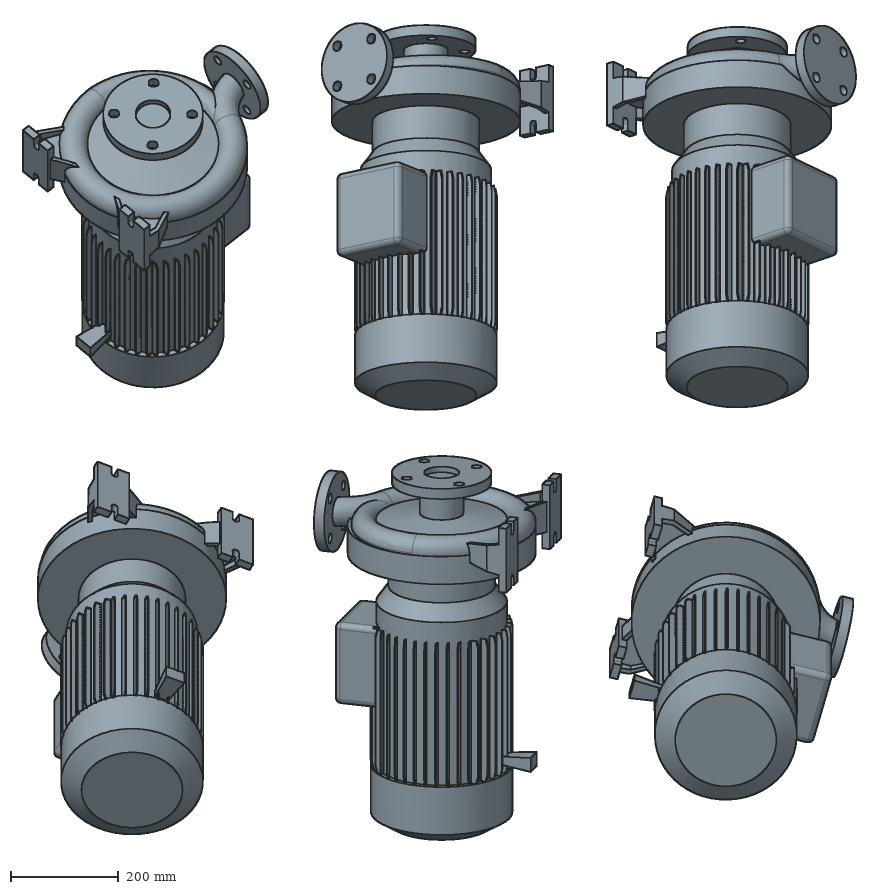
import cadquery as cq
import math

total_height = 690

cover_radius = 132.0
cover_base_radius = 94.0
cover_chamfer_height = 23.5
cover_top = 117
fins_top = 397.5
motor_radius = 121.5
motor_shoulder = 437.5
lantern_radius = 99.5
lantern_base = 468.5

fins_per_side = 10
fin_pitch_angle = 9
fin_thickness = 2.0
fin_tip_radius = 132.5
fin_tip_bevel = 3.0
fin_end_bevel = 14

box_width = 146.0
box_bottom = 238.0
box_face = 185.5
box_fillet = 11.0

casing_diameter = 350.0
casing_bottom = 531
casing_top = 586.0
volute_height = 590.0
volute_tube_diameter = 54.5
volute_end_radius = 21.5
volute_start_angle = 180
volute_taper_steps = 6
cone_rim_height = 594.0
cone_top = 610.5
casing_radius = casing_diameter / 2
volute_tube_radius = volute_tube_diameter / 2
volute_radius = casing_radius - volute_tube_radius

flange_thickness = 20.0
bolt_count = 4
first_bolt_angle = 45
bolt_hole_diameter = 18.5

inlet_pipe_radius = 41.0
inlet_flange_radius = 92.5
inlet_bore_diameter = 65.0
inlet_bore_depth = 11.0
inlet_bolt_circle = 145

outlet_face = 225.0
outlet_flange_radius = 75.0
outlet_bolt_circle = 110.5

foot_face = -180.0
foot_outer = 161.5
foot_inner = 95.0
foot_thickness = 15.0
foot_height = 125.5
foot_slot_width = 13.0
foot_slot_depth = 23.5
foot_slot_x = 125.5
foot_back = foot_face + foot_thickness

leg_width = 9.0
leg_bend_y = -142.0
outer_leg_tip = (127.5, -71.0)
inner_leg_tip = (36.0, -131)
leg_root_half_height = 30.0
leg_slope_angle = 10
web_thickness = 15.0

support_width = 37.0
support_height = 27.5
support_center_height = 141.0
support_length = 69
support_taper = 5.5


def turned_body():
    """Motor, lantern, casing drum, front cone and inlet, all around the Z axis."""
    flange_bottom = total_height - flange_thickness
    profile = [
        (0, 0),
        (cover_base_radius, 0),
        (cover_radius, cover_chamfer_height),
        (cover_radius, cover_top),
        (motor_radius, cover_top),
        (motor_radius, motor_shoulder),
        (lantern_radius, lantern_base),
        (lantern_radius, casing_bottom),
        (casing_radius, casing_bottom),
        (casing_radius, casing_top),
        (volute_radius, casing_top),
        (volute_radius, cone_rim_height),
        (inlet_pipe_radius, cone_top),
        (inlet_pipe_radius, flange_bottom),
        (inlet_flange_radius, flange_bottom),
        (inlet_flange_radius, total_height),
        (0, total_height),
    ]
    return cq.Workplane("XZ").polyline(profile).close().revolve(360, (0, 0), (0, 1))


def cooling_fins():
    """Thin fins parallel to X and to Y, trimmed to a round envelope with bevelled ends."""
    tip_end_radius = fin_tip_radius - fin_tip_bevel
    envelope_profile = [
        (0, cover_top),
        (tip_end_radius, cover_top),
        (fin_tip_radius, cover_top + fin_end_bevel),
        (fin_tip_radius, fins_top - fin_end_bevel),
        (tip_end_radius, fins_top),
        (0, fins_top),
    ]
    envelope = cq.Workplane("XZ").polyline(envelope_profile).close().revolve(360, (0, 0), (0, 1))
    plates = cq.Workplane()
    for index in range(fins_per_side):
        angle = (index - (fins_per_side - 1) / 2) * fin_pitch_angle
        offset = fin_tip_radius * math.sin(math.radians(angle))
        plate = (
            cq.Workplane("XY", origin=(0, offset, cover_top))
            .rect(2 * fin_tip_radius, fin_thickness)
            .extrude(fins_top - cover_top)
        )
        plates = plates.add(plate).add(plate.rotate((0, 0, 0), (0, 0, 1), 90))
    return plates.combine().intersect(envelope)


def terminal_box():
    """Terminal box on the +Y side of the motor, rounded on all its outer edges."""
    return (
        cq.Workplane("XZ", origin=(0, 0, (box_bottom + fins_top) / 2))
        .rect(box_width, fins_top - box_bottom)
        .extrude(-box_face)
        .edges("|Y or >Y")
        .fillet(box_fillet)
    )


def volute_section(angle, tube_radius):
    """Round tube section whose inner side touches the constant inner volute radius."""
    center_radius = volute_radius - volute_tube_radius + tube_radius
    direction = cq.Vector(math.cos(math.radians(angle)), math.sin(math.radians(angle)), 0)
    center = direction * center_radius + cq.Vector(0, 0, volute_height)
    tangent = cq.Vector(-direction.y, direction.x, 0)
    return cq.Wire.makeCircle(tube_radius, center, tangent)


def volute():
    """Volute tube: constant round part, narrowing part, and the bend to the outlet."""
    bend_angle = 2 * math.atan(volute_radius / outlet_face)
    bend_degrees = math.degrees(bend_angle)
    bend_radius = volute_radius * math.cos(bend_angle) / (1 - math.cos(bend_angle))

    ring = (
        cq.Workplane("XZ", origin=(0, 0, volute_height))
        .center(-volute_radius, 0)
        .circle(volute_tube_radius)
        .revolve(360 - volute_start_angle + bend_degrees, (volute_radius, 0), (volute_radius, 1))
    )
    bend = (
        cq.Workplane("XZ", origin=(0, outlet_face, volute_height))
        .circle(volute_tube_radius)
        .revolve(bend_degrees, (bend_radius, 0), (bend_radius, 1))
    )

    sections = []
    for step in range(volute_taper_steps + 1):
        fraction = step / volute_taper_steps
        angle = volute_start_angle + fraction * (bend_degrees - volute_start_angle)
        tube_radius = volute_tube_radius + fraction * (volute_end_radius - volute_tube_radius)
        sections.append(volute_section(angle, tube_radius))
    narrowing = cq.Workplane(cq.Solid.makeLoft(sections))
    return ring, narrowing, bend


def foot_plate():
    """Upright plate on the +X side with an open slot in its upper and lower edge."""
    plate = (
        cq.Workplane("XY")
        .box(foot_outer - foot_inner, foot_thickness, foot_height)
        .translate(((foot_outer + foot_inner) / 2, foot_face + foot_thickness / 2, volute_height))
    )
    for side in (-1, 1):
        slot = (
            cq.Workplane("XZ", origin=(foot_slot_x, foot_back, volute_height + side * foot_height / 2))
            .slot2D(2 * foot_slot_depth, foot_slot_width, 90)
            .extrude(foot_thickness)
        )
        plate = plate.cut(slot)
    return plate


def foot_legs():
    """Outer and inner leg from the foot plate into the volute, getting lower towards the volute."""
    leg_length = outer_leg_tip[1] - foot_back
    leg_tip_half_height = leg_root_half_height - leg_length * math.tan(math.radians(leg_slope_angle))
    outer_leg = [
        (foot_outer, foot_back),
        (foot_outer, leg_bend_y),
        outer_leg_tip,
        (outer_leg_tip[0] - leg_width, outer_leg_tip[1]),
        (foot_outer - leg_width, leg_bend_y),
        (foot_outer - leg_width, foot_back),
    ]
    inner_leg = [
        (foot_inner, foot_back),
        inner_leg_tip,
        (inner_leg_tip[0], inner_leg_tip[1] - leg_width),
        (foot_inner, foot_back - leg_width),
    ]
    slab = cq.Workplane("XY", origin=(0, 0, volute_height))
    legs = slab.polyline(outer_leg).close().extrude(leg_root_half_height, both=True)
    legs = legs.union(slab.polyline(inner_leg).close().extrude(leg_root_half_height, both=True))
    side_outline = [
        (foot_face, -leg_root_half_height),
        (foot_back, -leg_root_half_height),
        (outer_leg_tip[1], -leg_tip_half_height),
        (outer_leg_tip[1], leg_tip_half_height),
        (foot_back, leg_root_half_height),
        (foot_face, leg_root_half_height),
    ]
    side_shape = (
        cq.Workplane("YZ", origin=(0, 0, volute_height)).polyline(side_outline).close().extrude(foot_outer)
    )
    return legs.intersect(side_shape)


def foot_web():
    """Level web closing the space between the two legs."""
    outline = [
        (foot_inner, foot_back),
        (foot_outer - leg_width, foot_back),
        (foot_outer - leg_width, leg_bend_y),
        (outer_leg_tip[0] - leg_width, outer_leg_tip[1]),
        inner_leg_tip,
    ]
    return (
        cq.Workplane("XY", origin=(0, 0, volute_height))
        .polyline(outline)
        .close()
        .extrude(web_thickness / 2, both=True)
    )


def motor_support():
    """Block on the -Y side of the motor, flush with the feet, narrowing towards the motor."""
    return (
        cq.Workplane("XZ", origin=(0, foot_face, support_center_height))
        .rect(support_width, support_height)
        .extrude(-support_length, taper=support_taper)
    )


def flange_bolt_holes(flange_plane, bolt_circle):
    """Holes through a flange, evenly spaced on its bolt circle."""
    return (
        flange_plane.polarArray(bolt_circle / 2, first_bolt_angle, 360, bolt_count)
        .circle(bolt_hole_diameter / 2)
        .extrude(-flange_thickness)
    )


inlet_plane = cq.Workplane("XY", origin=(0, 0, total_height))
outlet_plane = cq.Workplane(cq.Plane((0, outlet_face, volute_height), (1, 0, 0), (0, 1, 0)))
outlet_flange = outlet_plane.circle(outlet_flange_radius).extrude(-flange_thickness)

result = turned_body().union(cooling_fins()).union(terminal_box()).union(motor_support())
for volute_part in volute():
    result = result.union(volute_part)
result = result.union(outlet_flange)
for foot_part in (foot_plate(), foot_legs(), foot_web()):
    result = result.union(foot_part).union(foot_part.mirror("YZ"))

inlet_bore = inlet_plane.circle(inlet_bore_diameter / 2).extrude(-inlet_bore_depth)
result = (
    result.cut(inlet_bore)
    .cut(flange_bolt_holes(inlet_plane, inlet_bolt_circle))
    .cut(flange_bolt_holes(outlet_plane, outlet_bolt_circle))
)